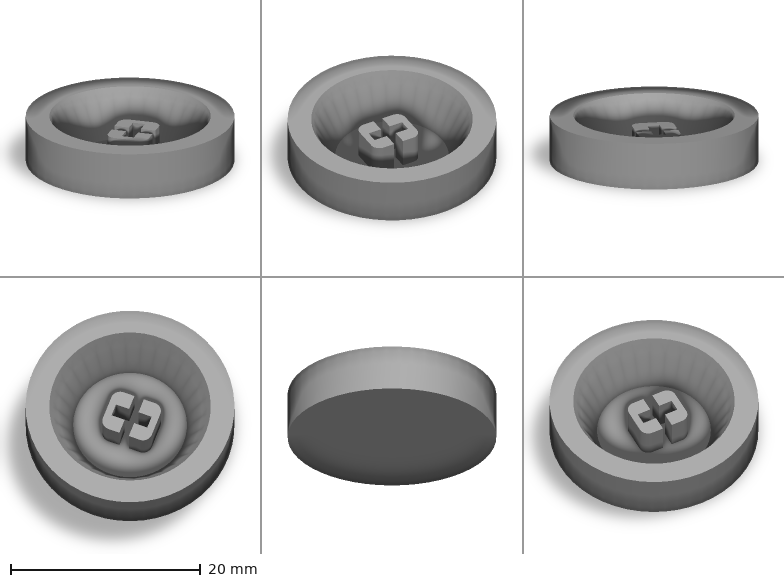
import cadquery as cq

body_diameter = 22.0
body_height = 5.0
dish_top_diameter = 17.0
dish_floor_diameter = 12.0
floor_thickness = 0.1

stem_offset_x = 0.29
stem_offset_y = 0.29
stem_width = 4.5
stem_length = 5.5
stem_height = 3.21
stem_corner_radius = 1.0

split_arm_width = 1.05
inner_arm_width = 1.32
inner_arm_length = 4.0


def make_body():
    """Disc with a straight-walled conical dish, turned about Z."""
    profile = [
        (0, 0),
        (body_diameter / 2, 0),
        (body_diameter / 2, body_height),
        (dish_top_diameter / 2, body_height),
        (dish_floor_diameter / 2, floor_thickness),
        (0, floor_thickness),
    ]
    return cq.Workplane("XZ").polyline(profile).close().revolve()


def make_stem():
    """Rounded block cut into two facing halves by the cross socket."""
    def upright_block(width, length):
        return cq.Workplane("XY").rect(width, length).extrude(floor_thickness + stem_height)

    stem = upright_block(stem_width, stem_length).edges("|Z").fillet(stem_corner_radius)
    stem = stem.cut(upright_block(stem_width, split_arm_width))
    stem = stem.cut(upright_block(inner_arm_width, inner_arm_length))
    return stem.translate((stem_offset_x, stem_offset_y, 0))


result = make_body().union(make_stem())